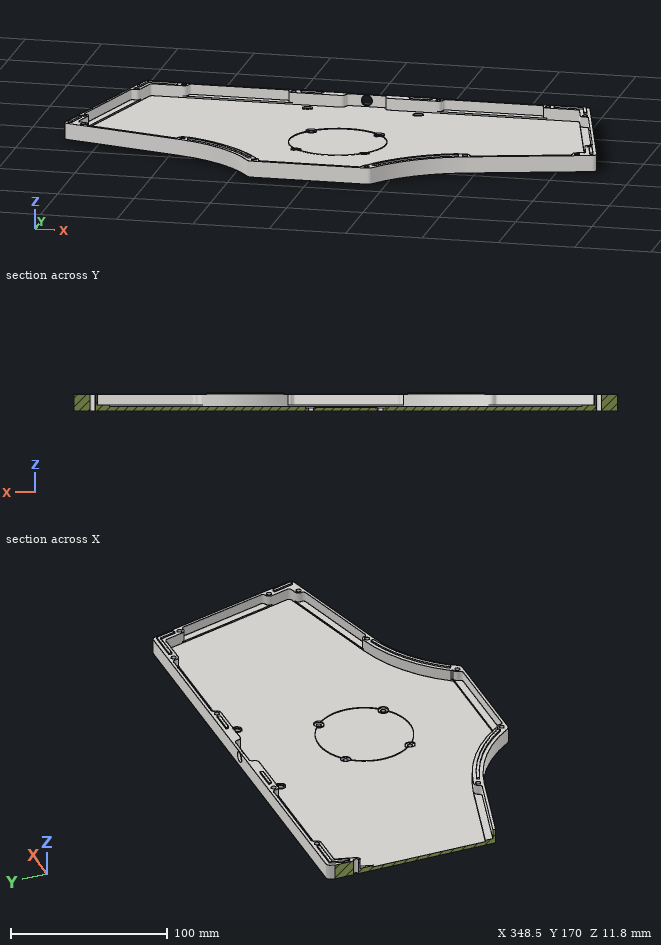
import cadquery as cq
import math

length_x = 348.5
width_y = 170.0
rim_height = 10.8
rib_height = 1.0

slant = math.radians(15)
outer_corner_radius = 3.0
side_corner_y = -23.7
slanted_front_length = 84.5
arc_radius = 91.5

rim_width = 7.0
inner_corner_radius = 2.0
thin_wall = 2.0
floor_thickness = 3.0
ledge_step = 1.0
boss_radius = 3.0
cove_radius = rim_width - boss_radius - thin_wall

screw_diameter = 3.2
screw_inset = rim_width - boss_radius
back_screw_xs = (47.5, 119.0)
side_screw_distances = (21.3, 93.5)
slanted_front_screw_distances = (12.5, 84.5)
front_screw_x = 37.0

rib_width = 2.0
rib_gap = 4.2
rib_inset = (rim_width - rib_width) / 2
short_rib_length = 15.5
short_rib_taper = 1.0

notch_width = 26.0
cable_hole_diameter = 7.0
cable_hole_z = (floor_thickness + rim_height) / 2

disc_diameter = 63.0
disc_depth = 0.5
disc_y = -1.5
mount_half_pitch = 22.3
mount_diameter = 3.2
rear_hole_diameter = 4.5
rear_hole_x = 36.2
rear_hole_y = 71.8
counterbore_diameter = 6.5
counterbore_depth = 1.0

sin_slant = math.sin(slant)
cos_slant = math.cos(slant)
back_y = width_y / 2
front_y = -width_y / 2
ledge_z = floor_thickness + ledge_step
side_corner_x = -length_x / 2 - outer_corner_radius * (sin_slant + cos_slant - 1)


def side_point(distance, inset):
    """Point on the left slanted side, measured back from the sharp side corner."""
    return (
        side_corner_x + distance * sin_slant + inset * cos_slant,
        side_corner_y + distance * cos_slant - inset * sin_slant,
    )


def slanted_front_point(distance, inset):
    """Point on the left slanted front edge, measured inward from the sharp side corner."""
    return (
        side_corner_x + distance * cos_slant + inset * sin_slant,
        side_corner_y - distance * sin_slant + inset * cos_slant,
    )


arc_center_x, arc_center_y = slanted_front_point(slanted_front_length, -arc_radius)


def arc_point(angle, inset):
    """Point on the left concave arc; the angle turns clockwise from +Y."""
    radius = arc_radius + inset
    return (arc_center_x + radius * math.sin(angle), arc_center_y + radius * math.cos(angle))


def arc_angle_at_y(y, inset):
    return math.acos((y - arc_center_y) / (arc_radius + inset))


def back_corner(inset):
    """Left back corner of the outline moved inward by the inset."""
    distance = (back_y - inset - side_corner_y + inset * sin_slant) / cos_slant
    return side_point(distance, inset)


def mirrored(point):
    return (-point[0], point[1])


def outline_prism(inset, corner_radius, base_z, height):
    """Prism on the outline moved inward by the inset, with its true corners rounded."""
    end_angle = arc_angle_at_y(front_y + inset, inset)
    back = back_corner(inset)
    side = side_point(inset, inset)
    start = arc_point(slant, inset)
    middle = arc_point((slant + end_angle) / 2, inset)
    end = arc_point(end_angle, inset)
    prism = (
        cq.Workplane("XY", origin=(0, 0, base_z))
        .moveTo(*back)
        .lineTo(*side)
        .lineTo(*start)
        .threePointArc(middle, end)
        .lineTo(*mirrored(end))
        .threePointArc(mirrored(middle), mirrored(start))
        .lineTo(*mirrored(side))
        .lineTo(*mirrored(back))
        .close()
        .extrude(height)
    )
    corners = [
        edge
        for edge in prism.edges("|Z").vals()
        if abs(abs(edge.Center().x) - abs(start[0])) > corner_radius
    ]
    return prism.newObject(corners).fillet(corner_radius)


def rim_recess(start, end, outward, base_z):
    """Cutter that thins the rim between two boss centers, leaving rounded bosses at both ends."""
    span = math.hypot(end[0] - start[0], end[1] - start[1])
    along = cq.Vector(end[0] - start[0], end[1] - start[1], 0)
    plane = cq.Plane(origin=(start[0], start[1], base_z), xDir=along, normal=(0, 0, 1))
    side = 1 if plane.yDir.dot(cq.Vector(*outward, 0)) > 0 else -1
    diagonal = math.sqrt(0.5)
    boss_diagonal = boss_radius * diagonal
    cove_x = boss_radius + cove_radius
    cove_diagonal = cove_radius * diagonal
    reach = 2 * boss_radius
    return (
        cq.Workplane(plane)
        .moveTo(0, -side * reach)
        .lineTo(0, -side * boss_radius)
        .threePointArc((boss_diagonal, -side * boss_diagonal), (boss_radius, 0))
        .threePointArc(
            (cove_x - cove_diagonal, side * cove_diagonal), (cove_x, side * cove_radius)
        )
        .lineTo(span - cove_x, side * cove_radius)
        .threePointArc(
            (span - cove_x + cove_diagonal, side * cove_diagonal), (span - boss_radius, 0)
        )
        .threePointArc(
            (span - boss_diagonal, -side * boss_diagonal), (span, -side * boss_radius)
        )
        .lineTo(span, -side * reach)
        .close()
        .extrude(rim_height)
    )


def both_sides(shape):
    return shape.union(shape.mirror("YZ"))


def rib(points):
    return cq.Workplane("XY", origin=(0, 0, rim_height)).polyline(points).close().extrude(rib_height)


cavity = outline_prism(rim_width, inner_corner_radius, floor_thickness, rim_height)
tray = outline_prism(0, outer_corner_radius, 0, rim_height).cut(cavity)

back_screws = [(-x, back_y - screw_inset) for x in back_screw_xs]
side_screws = [side_point(d, screw_inset) for d in side_screw_distances]
slanted_screws = [slanted_front_point(d, screw_inset) for d in slanted_front_screw_distances]
front_screw = (-front_screw_x, front_y + screw_inset)
left_screws = back_screws + side_screws + slanted_screws + [front_screw]

left_recesses = [
    rim_recess(*back_screws, (0, 1), ledge_z),
    rim_recess(*side_screws, (-cos_slant, sin_slant), ledge_z),
    rim_recess(*slanted_screws, (-sin_slant, -cos_slant), ledge_z),
]
for recess in left_recesses:
    tray = tray.cut(both_sides(recess))
tray = tray.cut(rim_recess(front_screw, mirrored(front_screw), (0, -1), ledge_z))

notch_half_span = notch_width / 2 + boss_radius
notch_y = back_y - screw_inset
notch = rim_recess((-notch_half_span, notch_y), (notch_half_span, notch_y), (0, 1), floor_thickness)
tray = tray.cut(notch)

cable_hole = (
    cq.Workplane("XZ", origin=(0, back_y + thin_wall, cable_hole_z))
    .circle(cable_hole_diameter / 2)
    .extrude(rim_width)
)
tray = tray.cut(cable_hole)

rib_outer = rib_inset
rib_inner = rib_inset + rib_width
corner_rib_x = -back_screw_xs[1] - rib_gap
corner_rib_end = side_screw_distances[1] + rib_gap
corner_rib = rib(
    [
        (corner_rib_x, back_y - rib_outer),
        back_corner(rib_outer),
        side_point(corner_rib_end, rib_outer),
        side_point(corner_rib_end, rib_inner),
        back_corner(rib_inner),
        (corner_rib_x, back_y - rib_inner),
    ]
)

side_rib_end = side_screw_distances[0] - rib_gap
side_rib = rib(
    [
        side_point(rib_outer, rib_outer),
        side_point(side_rib_end, rib_outer),
        side_point(side_rib_end, rib_inner),
        side_point(rib_outer, rib_inner),
    ]
)

short_rib_start = -back_screw_xs[0] + rib_gap
short_rib_end = short_rib_start + short_rib_length
short_rib = rib(
    [
        (short_rib_start, back_y - rib_outer),
        (short_rib_end, back_y - rib_outer),
        (short_rib_end - short_rib_taper, back_y - rib_inner),
        (short_rib_start + short_rib_taper, back_y - rib_inner),
    ]
)

rib_gap_angle = rib_gap / arc_radius
arc_rib_start = slant + rib_gap_angle
arc_rib_end = arc_angle_at_y(front_screw[1], screw_inset) - rib_gap_angle
arc_rib_middle = (arc_rib_start + arc_rib_end) / 2
arc_rib = (
    cq.Workplane("XY", origin=(0, 0, rim_height))
    .moveTo(*arc_point(arc_rib_start, rib_outer))
    .threePointArc(arc_point(arc_rib_middle, rib_outer), arc_point(arc_rib_end, rib_outer))
    .lineTo(*arc_point(arc_rib_end, rib_inner))
    .threePointArc(arc_point(arc_rib_middle, rib_inner), arc_point(arc_rib_start, rib_inner))
    .close()
    .extrude(rib_height)
)

for left_rib in (corner_rib, side_rib, short_rib, arc_rib):
    tray = tray.union(both_sides(left_rib))

disc = (
    cq.Workplane("XY", origin=(0, disc_y, floor_thickness - disc_depth))
    .circle(disc_diameter / 2)
    .extrude(disc_depth)
)
tray = tray.cut(disc)

screw_points = left_screws + [mirrored(point) for point in left_screws]
screw_holes = (
    cq.Workplane("XY").pushPoints(screw_points).circle(screw_diameter / 2).extrude(rim_height)
)
tray = tray.cut(screw_holes)


def counterbored_holes(points, diameter):
    through = cq.Workplane("XY").pushPoints(points).circle(diameter / 2).extrude(floor_thickness)
    bore = (
        cq.Workplane("XY", origin=(0, 0, floor_thickness - counterbore_depth))
        .pushPoints(points)
        .circle(counterbore_diameter / 2)
        .extrude(counterbore_depth)
    )
    return through.union(bore)


mount_points = [
    (x_sign * mount_half_pitch, disc_y + y_sign * mount_half_pitch)
    for x_sign in (-1, 1)
    for y_sign in (-1, 1)
]
rear_points = [(-rear_hole_x, rear_hole_y), (rear_hole_x, rear_hole_y)]
tray = tray.cut(counterbored_holes(mount_points, mount_diameter))
tray = tray.cut(counterbored_holes(rear_points, rear_hole_diameter))

result = tray